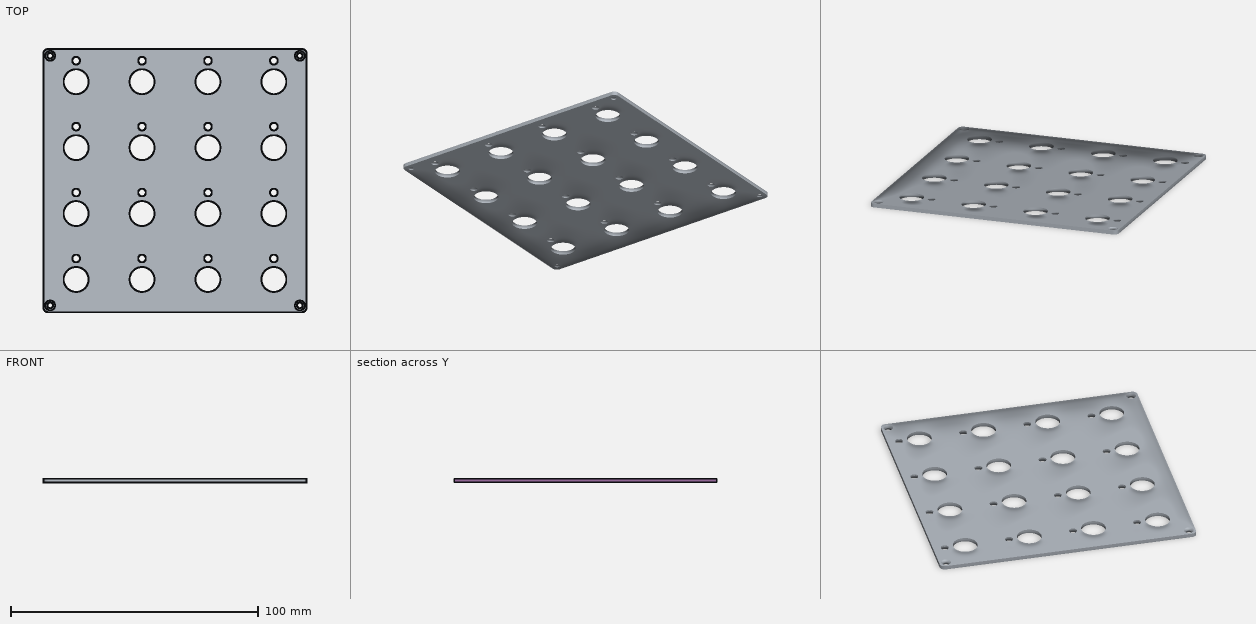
import cadquery as cq

plate_side = 106.6
plate_thickness = 1.6
corner_radius = 2.0

grid_count = 4
grid_pitch = 26.67
large_hole_diameter = 10.0
small_hole_diameter = 3.0
small_hole_mouth_diameter = 3.2
small_hole_mouth_depth = 0.4
small_hole_offset = 8.5

screw_hole_diameter = 2.2
screw_head_diameter = 4.0
screw_head_angle = 90.0
screw_inset = 2.8
screw_spacing = plate_side - 2 * screw_inset


def make_plate():
    """Square plate with rounded corners, standing on the XY plane."""
    plate = cq.Workplane("XY").box(plate_side, plate_side, plate_thickness, centered=(True, True, False))
    return plate.edges("|Z").fillet(corner_radius)


def top_grid(plate, pitch, count, offset_y=0):
    """Square grid of points on the top face, centred on the plate and shifted along Y."""
    top = plate.faces(">Z").workplane(origin=(0, offset_y, 0))
    return top.rarray(pitch, pitch, count, count)


def drill_large_holes(plate):
    """Through hole at the centre of every cell."""
    return top_grid(plate, grid_pitch, grid_count).hole(large_hole_diameter)


def drill_small_holes(plate):
    """Through hole with a slightly wider mouth at the top, in every cell."""
    points = top_grid(plate, grid_pitch, grid_count, small_hole_offset)
    return points.cboreHole(small_hole_diameter, small_hole_mouth_diameter, small_hole_mouth_depth)


def drill_screw_holes(plate):
    """Countersunk through hole in each corner."""
    corners = top_grid(plate, screw_spacing, 2)
    return corners.cskHole(screw_hole_diameter, screw_head_diameter, screw_head_angle)


result = make_plate()
result = drill_large_holes(result)
result = drill_small_holes(result)
result = drill_screw_holes(result)